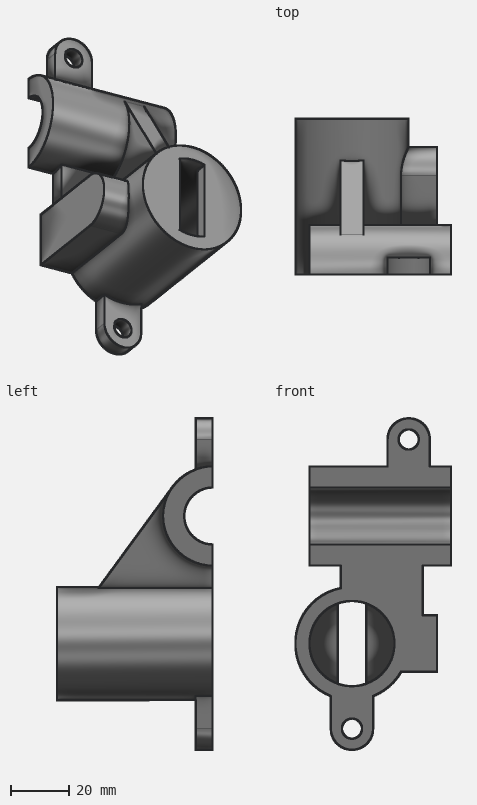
import cadquery as cq
import math


tube_radius = 19.46
tube_bore_radius = 14.59
tube_length = 53.51
end_wall = tube_radius - tube_bore_radius
end_slot_width = 9.73

saddle_radius = 17.03
saddle_bore_radius = 9.73
saddle_x_min = -tube_bore_radius
saddle_x_max = tube_length - tube_radius
saddle_length = saddle_x_max - saddle_x_min
saddle_z = 43.78

ear_radius = 7.3
ear_hole_radius = 3.41
ear_thickness = 5.84
upper_ear_x = 19.46
upper_ear_z = 70.04
lower_ear_x = 0
lower_ear_z = -29.18

rib_thickness = 7.78
rib_foot_y = 38.92
rib_foot_z = tube_radius

web_x_min = -rib_thickness / 2
web_x_max = 24.32
web_thickness = ear_thickness

tab_x_max = 29.19
tab_half_height = 9.73
tab_length = 43.78


def box(x_min, x_max, y_min, y_max, z_min, z_max):
    """Box given by its limits along each axis."""
    size = (x_max - x_min, y_max - y_min, z_max - z_min)
    return cq.Workplane("XY").box(*size, centered=False).translate((x_min, y_min, z_min))


def cylinder_along_y(radius, length, x=0, z=0):
    """Cylinder that starts on the mounting face and runs toward +Y."""
    return cq.Workplane("XZ").center(x, z).circle(radius).extrude(-length)


def make_saddle():
    """Half cylinder with its flat side on the mounting face."""
    return (
        cq.Workplane("YZ", origin=(saddle_x_min, 0, saddle_z))
        .moveTo(0, -saddle_radius)
        .threePointArc((saddle_radius, 0), (0, saddle_radius))
        .close()
        .extrude(saddle_length)
    )


def make_saddle_bore():
    """Cylinder that hollows the saddle over its whole length."""
    return (
        cq.Workplane("YZ", origin=(saddle_x_min, 0, saddle_z))
        .circle(saddle_bore_radius)
        .extrude(saddle_length)
    )


def make_ear(x, z, root_z):
    """Ear with a round tip centred on (x, z), straight down or up to its root."""
    tip = cylinder_along_y(ear_radius, ear_thickness, x, z)
    shank = box(x - ear_radius, x + ear_radius, 0, ear_thickness, min(z, root_z), max(z, root_z))
    return tip.union(shank)


def make_rib():
    """Rib whose sloping edge rises from the tube and meets the saddle tangentially."""
    foot_drop = saddle_z - rib_foot_z
    foot_distance = math.hypot(rib_foot_y, foot_drop)
    tangent_angle = math.acos(saddle_radius / foot_distance) - math.atan2(foot_drop, rib_foot_y)
    tangent_y = saddle_radius * math.cos(tangent_angle)
    tangent_z = saddle_z + saddle_radius * math.sin(tangent_angle)

    buried_z = rib_foot_z - end_wall / 2
    slope = (rib_foot_y - tangent_y) / (tangent_z - rib_foot_z)
    buried_y = rib_foot_y + slope * (rib_foot_z - buried_z)
    return (
        cq.Workplane("YZ", origin=(-rib_thickness / 2, 0, 0))
        .polyline([(0, buried_z), (buried_y, buried_z), (tangent_y, tangent_z), (0, saddle_z)])
        .close()
        .extrude(rib_thickness)
    )


def make_tab():
    """Tab on the +X side of the tube, rounded about an axis parallel to X."""
    round_start = tab_length - tab_half_height
    return (
        cq.Workplane("YZ")
        .moveTo(0, -tab_half_height)
        .lineTo(round_start, -tab_half_height)
        .threePointArc((tab_length, 0), (round_start, tab_half_height))
        .lineTo(0, tab_half_height)
        .close()
        .extrude(tab_x_max)
    )


def make_end_slot():
    """Slot across the end wall, bounded by the tube bore."""
    half_width = end_slot_width / 2
    slot = box(-half_width, half_width, 0, tube_length, -tube_radius, tube_radius)
    return slot.intersect(cylinder_along_y(tube_bore_radius, tube_length))


body = cylinder_along_y(tube_radius, tube_length)
body = body.union(make_saddle())
body = body.union(box(web_x_min, web_x_max, 0, web_thickness, 0, saddle_z))
body = body.union(make_rib())
body = body.union(make_tab())
body = body.union(make_ear(upper_ear_x, upper_ear_z, saddle_z))
body = body.union(make_ear(lower_ear_x, lower_ear_z, 0))

body = body.cut(make_saddle_bore())
body = body.cut(cylinder_along_y(tube_bore_radius, tube_length - end_wall))
body = body.cut(make_end_slot())
for ear_x, ear_z in [(upper_ear_x, upper_ear_z), (lower_ear_x, lower_ear_z)]:
    body = body.cut(cylinder_along_y(ear_hole_radius, ear_thickness, ear_x, ear_z))

result = body